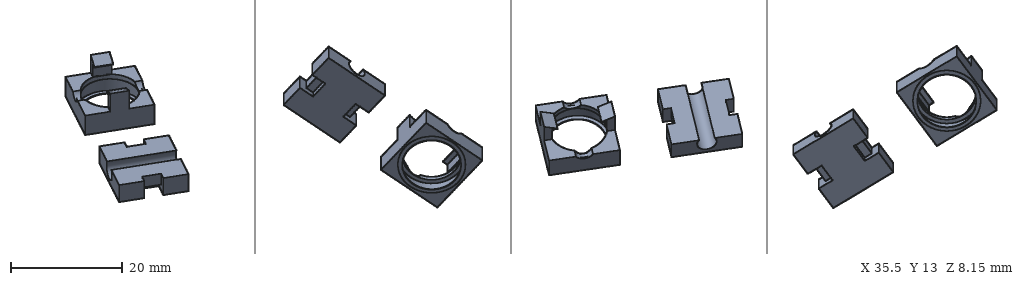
import cadquery as cq

total_length = 35.47
block_side = 13.0
half_side = block_side / 2
channel_diameter = 3.6

housing_height = 8.15
base_height = 4.25
opening_diameter = 10.6
chamber_diameter = 12.2
floor_thickness = 0.18
lip_thickness = 1.03
housing_channel_depth = 0.92

arm_thickness = 1.5
arm_width = 3.55
hook_reach = 2.5
hook_underside = 6.95
hook_tip_height = 0.18

cover_center_x = total_length - block_side
cover_height = 3.72
cover_channel_floor = 0.85
catch_depth = 3.0
catch_height = 1.35


def channel(center_x, bottom_z):
    """Cylinder along Y that cuts a round channel through a block."""
    return (
        cq.Workplane("XZ")
        .center(center_x, bottom_z + channel_diameter / 2)
        .circle(channel_diameter / 2)
        .extrude(half_side, both=True)
    )


def block(center_x, height):
    """Square block standing on Z = 0."""
    return (
        cq.Workplane("XY")
        .center(center_x, 0)
        .rect(block_side, block_side)
        .extrude(height)
    )


def snap_arm(side):
    """Hooked arm on the -X side (side = -1) or the +X side (side = 1)."""
    outer_x = side * half_side
    inner_x = side * (half_side - arm_thickness)
    tip_x = side * (half_side - hook_reach)
    return (
        cq.Workplane("XZ")
        .moveTo(outer_x, base_height)
        .lineTo(outer_x, housing_height)
        .lineTo(tip_x, hook_underside + hook_tip_height)
        .lineTo(tip_x, hook_underside)
        .lineTo(inner_x, hook_underside)
        .lineTo(inner_x, base_height)
        .close()
        .extrude(arm_width / 2, both=True)
    )


def make_housing():
    chamber_height = base_height - floor_thickness - lip_thickness
    opening = cq.Workplane("XY").circle(opening_diameter / 2).extrude(base_height)
    chamber = (
        cq.Workplane("XY", origin=(0, 0, floor_thickness))
        .circle(chamber_diameter / 2)
        .extrude(chamber_height)
    )
    body = block(0, base_height).cut(opening).cut(chamber)
    body = body.cut(channel(0, base_height - housing_channel_depth))
    for side in (-1, 1):
        body = body.union(snap_arm(side))
    return body


def side_slot(side, depth, height):
    """Slot rising from the bottom of the cover, cut inward from its -X or +X side."""
    slot_x = cover_center_x + side * (half_side - depth / 2)
    return (
        cq.Workplane("XY")
        .center(slot_x, 0)
        .rect(depth, arm_width)
        .extrude(height)
    )


def make_cover():
    body = block(cover_center_x, cover_height).cut(channel(cover_center_x, cover_channel_floor))
    for side in (-1, 1):
        arm_notch = side_slot(side, arm_thickness, cover_height)
        hook_catch = side_slot(side, catch_depth, catch_height)
        body = body.cut(arm_notch).cut(hook_catch)
    return body


housing = make_housing()
cover = make_cover()

result = cq.Compound.makeCompound([housing.val(), cover.val()])